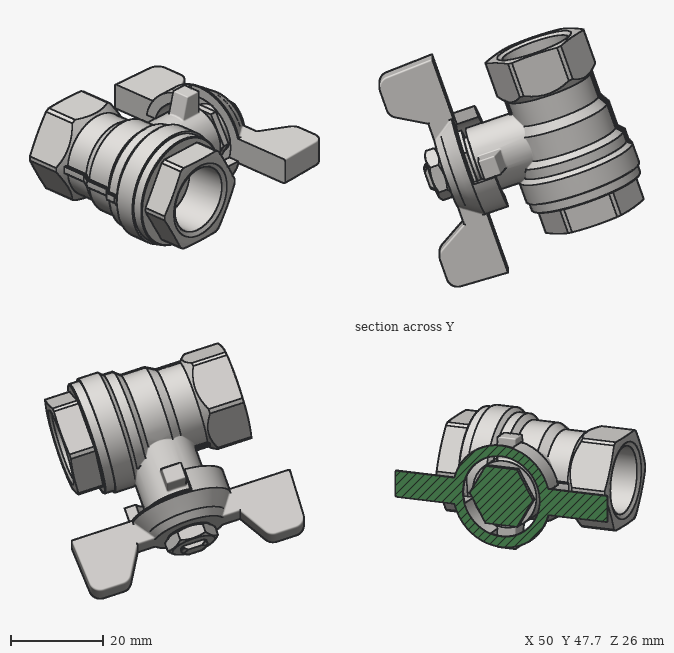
import cadquery as cq
import math

half_length = 20.0
hex_flats = 20.0
hex_corner_radius = 11.26
hex_face_radius = hex_flats / 2
hex_face_bevel = 0.2

waist_radius = 9.5
hex_shoulder_end = -10.3
hex_shoulder_start = hex_shoulder_end - (hex_corner_radius - waist_radius)
ball_radius = 10.75
waist_end = -4.9
ball_start = -2.8
ball_end = 2.8
seat_radius = 12.0
seat_start = 4.15
seat_end = 6.4
collar_radius = 13.0
collar_start = 7.4
collar_end = 11.9
flange_radius = 12.5
flange_end = 14.2
flange_bevel = 0.2

bore_radius = 15.0 / 2
bore_mouth_radius = 17.0 / 2
bore_mouth_slope = math.radians(30)
bore_depth = 10.0

rib_width = 2.0
rib_height = 0.5
rib_start = -10.8
rib_end = 7.1
rib_bevel = 0.2
step_slope = math.radians(45)

neck_radius = 15.0 / 2
neck_top = 20.1
gland_radius = 11.26 / 2
gland_nut_flats = 13.0
gland_nut_bottom = 21.1
gland_nut_height = 1.6
tab_tip = 12.5
tab_half_width = 2.2
tab_top = 19.1
tab_tip_bottom = 15.4
tab_base_bottom = 13.9
tab_base = 7.0
tab_rounding = 0.3
tab_blend = 0.4
neck_blend = 0.2

handle_bottom = 21.7
hub_top = 27.2
hub_rim_top = 22.05
hub_radius = 11.5
hub_top_radius = 8.1
hub_recess_top = 25.4
skirt_inner_radius = 18.0 / 2
skirt_bottom = 16.8
skirt_gap = 2.55
wing_tip = 25.0
wing_draft = 0.6
wing_top = 34.7
wing_crest_inner = 16.1
wing_root = 11.7
wing_thickness = 6.0
wing_corner_radius = 2.5
wing_edge_radius = 0.4

nut_flats = 10.0
nut_bottom = 27.4
nut_top = 30.4
nut_face_radius = 4.85
nut_bevel = 0.55
stem_radius = 3.0
stem_top = 31.5
stem_bevel = 0.6
stem_flats = 3.7


def disc(radius, bottom, top):
    """Cylinder about the Y axis between two heights."""
    return cq.Workplane("XZ", origin=(0, bottom, 0)).circle(radius).extrude(bottom - top)


def edges_where(solid, test):
    """Edges of a solid whose middle point passes a test."""
    return [edge for edge in solid.edges().vals() if test(edge.positionAt(0.5))]


def on_neck_root(point):
    """True on the line where the neck cylinder enters the turned body."""
    on_cylinder = abs(math.hypot(point.x, point.z) - neck_radius) < 0.01
    return on_cylinder and 0 < point.y < collar_radius


def on_tab_root(point):
    """True on the line where a stop leaves the neck cylinder."""
    on_cylinder = abs(math.hypot(point.x, point.z) - neck_radius) < 0.01
    beside_tab = abs(point.x) < tab_half_width + 0.01
    return on_cylinder and beside_tab and tab_base_bottom - 1 < point.y < tab_top + 0.1


def on_wing_root(point):
    """True where the wing sides enter the conical face of the hub."""
    on_side = abs(abs(point.z) - wing_thickness / 2) < 0.01
    return on_side and hub_rim_top < point.y < hub_top - 2 * wing_edge_radius


def hexagon(plane, origin, flats, length):
    """Hexagonal prism with one pair of flats facing +Z and -Z."""
    across_corners = flats / math.cos(math.pi / 6)
    return cq.Workplane(plane, origin=origin).polygon(6, across_corners).extrude(length)


def body_turning(offset):
    """Turned body between the two hexagons, grown outwards by an offset."""
    shift = offset * math.tan(step_slope / 2)
    profile = [
        (rib_start, 0),
        (rib_start, waist_radius + offset),
        (waist_end - shift, waist_radius + offset),
        (ball_start - shift, ball_radius + offset),
        (ball_end - shift, ball_radius + offset),
        (seat_start - shift, seat_radius + offset),
        (seat_end - shift, seat_radius + offset),
        (collar_start, collar_radius),
        (collar_end, collar_radius),
        (collar_end, flange_radius),
        (flange_end - flange_bevel, flange_radius),
        (flange_end, flange_radius - flange_bevel),
        (flange_end, 0),
    ]
    return cq.Workplane("XY").polyline(profile).close().revolve(360, (0, 0), (1, 0))


def hex_ends():
    """Wrench hexagons at both ends, corners turned down and end faces bevelled."""
    prism = hexagon("YZ", (-half_length, 0, 0), hex_flats, 2 * half_length)
    envelope = [
        (-half_length, 0),
        (-half_length, hex_face_radius),
        (-half_length + hex_face_bevel, hex_corner_radius),
        (hex_shoulder_start, hex_corner_radius),
        (hex_shoulder_end, waist_radius),
        (flange_end - 1, waist_radius),
        (flange_end - 1, hex_corner_radius),
        (half_length - hex_face_bevel, hex_corner_radius),
        (half_length, hex_face_radius),
        (half_length, 0),
    ]
    return prism.intersect(cq.Workplane("XY").polyline(envelope).close().revolve(360, (0, 0), (1, 0)))


def bore(side):
    """Blind bore with a tapered mouth in the end at X = side * half_length."""
    mouth = (bore_mouth_radius - bore_radius) * math.tan(bore_mouth_slope)
    profile = [
        (side * half_length, 0),
        (side * half_length, bore_mouth_radius),
        (side * (half_length - mouth), bore_radius),
        (side * (half_length - bore_depth), bore_radius),
        (side * (half_length - bore_depth), 0),
    ]
    return cq.Workplane("XY").polyline(profile).close().revolve(360, (0, 0), (1, 0))


def parting_ribs():
    """Thin ribs along the -Y and +Y sides that follow the body outline."""
    length = rib_end - rib_start
    slab = cq.Workplane("XY").box(length, 2 * collar_radius, rib_width)
    ribs = body_turning(rib_height).intersect(slab.translate((rib_start + length / 2, 0, 0)))
    return ribs.faces("|Z").edges().chamfer(rib_bevel)


def stop_tab():
    """Tapered stop on the +Z side of the neck."""
    outline = [
        (tab_top, 0),
        (tab_top, tab_tip),
        (tab_tip_bottom, tab_tip),
        (tab_base_bottom, tab_base),
        (tab_base_bottom, 0),
    ]
    tab = cq.Workplane("YZ").polyline(outline).close().extrude(tab_half_width, both=True)
    return tab.edges("not <Z").fillet(tab_rounding)


def neck():
    """Neck with the two handle stops, the gland and the gland nut."""
    tab = stop_tab()
    stops = disc(neck_radius, 0, neck_top).union(tab).union(tab.mirror("XY"))
    stops = stops.newObject(edges_where(stops, on_tab_root)).fillet(tab_blend)
    gland = disc(gland_radius, neck_top, hub_recess_top)
    gland_nut = hexagon("XZ", (0, gland_nut_bottom, 0), gland_nut_flats, -gland_nut_height)
    return stops.union(gland).union(gland_nut)


def hub():
    """Conical hub of the handle."""
    profile = [
        (0, handle_bottom),
        (hub_radius, handle_bottom),
        (hub_radius, hub_rim_top),
        (hub_top_radius, hub_top),
        (0, hub_top),
    ]
    return cq.Workplane("XY").polyline(profile).close().revolve(360, (0, 0), (0, 1))


def skirt_quarter():
    """Skirt piece below the hub in the -X, +Z quarter."""
    ring = disc(hub_radius, skirt_bottom, handle_bottom).cut(disc(skirt_inner_radius, skirt_bottom, handle_bottom))
    corner = cq.Workplane("XY").box(hub_radius, hub_top, hub_radius, centered=(True, False, True))
    offset = skirt_gap + hub_radius / 2
    return ring.intersect(corner.translate((-offset, 0, offset)))


def wing():
    """Handle wing on the +X side, rounded along every edge but the bottom."""
    outline = [
        (0, handle_bottom),
        (wing_tip, handle_bottom),
        (wing_tip - wing_draft, wing_top),
        (wing_crest_inner, wing_top),
        (wing_root, hub_top),
        (0, hub_top),
    ]
    plate = cq.Workplane("XY").polyline(outline).close().extrude(wing_thickness / 2, both=True)
    plate = plate.edges("|Z").edges(">Y").fillet(wing_corner_radius)
    rim = plate.faces("|Z").edges("not(<Y or <X)")
    return rim.fillet(wing_edge_radius)


def handle():
    """Recessed hub with two opposite wings and two opposite skirt pieces."""
    grip = hub().union(wing()).union(wing().mirror("YZ"))
    junctions = edges_where(grip, on_wing_root)
    grip = grip.newObject(junctions).fillet(wing_edge_radius)
    grip = grip.cut(disc(skirt_inner_radius, handle_bottom, hub_recess_top))
    for angle in (0, 180):
        grip = grip.union(skirt_quarter().rotate((0, 0, 0), (0, 1, 0), angle))
    return grip


def handle_nut():
    """Bevelled hexagon nut with its seat and the protruding stem end."""
    prism = hexagon("XZ", (0, nut_bottom, 0), nut_flats, nut_bottom - nut_top)
    corner_radius = nut_flats / math.cos(math.pi / 6) / 2
    envelope = [
        (0, nut_bottom),
        (nut_face_radius, nut_bottom),
        (corner_radius, nut_bottom + nut_bevel),
        (corner_radius, nut_top - nut_bevel),
        (nut_face_radius, nut_top),
        (0, nut_top),
    ]
    nut = prism.intersect(cq.Workplane("XY").polyline(envelope).close().revolve(360, (0, 0), (0, 1)))
    seat = disc(nut_face_radius, hub_top, nut_bottom)
    stem = disc(stem_radius, nut_top, stem_top).faces(">Y").chamfer(stem_bevel)
    stem = stem.intersect(cq.Workplane("XY").box(2 * stem_radius, 2 * stem_top, stem_flats))
    return nut.union(seat).union(stem)


body = body_turning(0).union(disc(neck_radius, 0, neck_top))
body = body.newObject(edges_where(body, on_neck_root)).fillet(neck_blend)
body = body.union(parting_ribs()).union(hex_ends()).union(neck())
body = body.cut(bore(-1)).cut(bore(1))
result = body.union(handle()).union(handle_nut())